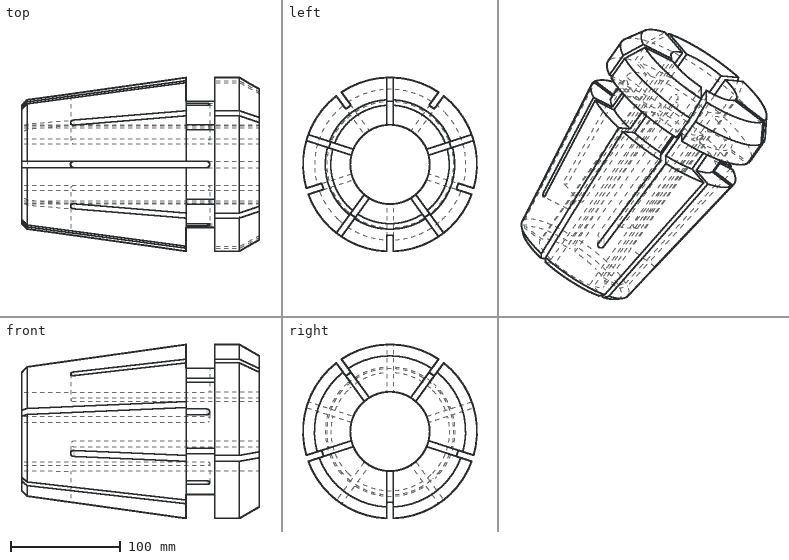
import cadquery as cq
import math

total_length = 216.11
max_radius = 79.24
bore_radius = 36.0

cone_angle = 8.0
cone_end_x = 149.5
nose_chamfer = 5.0

neck_radius = 57.6
collar_start_x = 175.5
collar_chamfer_angle = 30.0
collar_chamfer_length = 18.1

slot_count = 5
slot_width = 5.7
nose_slot_end_x = 171.0
rear_slot_end_x = 44.5
slot_pitch_angle = 360 / slot_count
cut_margin = 10.0


def collet_body():
    """Revolve the half profile of the collet around the X axis."""
    cone_drop = (cone_end_x - nose_chamfer) * math.tan(math.radians(cone_angle))
    cone_small_radius = max_radius - cone_drop
    collar_drop = collar_chamfer_length * math.tan(math.radians(collar_chamfer_angle))
    collar_end_radius = max_radius - collar_drop
    profile = [
        (0, bore_radius),
        (0, cone_small_radius - nose_chamfer),
        (nose_chamfer, cone_small_radius),
        (cone_end_x, max_radius),
        (cone_end_x, neck_radius),
        (collar_start_x, neck_radius),
        (collar_start_x, max_radius),
        (total_length - collar_chamfer_length, max_radius),
        (total_length, collar_end_radius),
        (total_length, bore_radius),
    ]
    return cq.Workplane("XY").polyline(profile).close().revolve(360, (0, 0, 0), (1, 0, 0))


def slot_cutter(start_x, end_x):
    """Radial slot toward +Z with full-round ends, reaching from the axis past the outside."""
    return (
        cq.Workplane("XY")
        .center((start_x + end_x) / 2, 0)
        .slot2D(end_x - start_x, slot_width)
        .extrude(max_radius + cut_margin)
    )


def cut_slots(body, cutter, first_angle):
    """Cut the slot at equal steps around the collet axis."""
    for index in range(slot_count):
        angle = first_angle + index * slot_pitch_angle
        body = body.cut(cutter.rotate((0, 0, 0), (1, 0, 0), angle))
    return body


nose_slot = slot_cutter(-cut_margin, nose_slot_end_x)
rear_slot = slot_cutter(rear_slot_end_x, total_length + cut_margin)

result = collet_body()
result = cut_slots(result, nose_slot, 0)
result = cut_slots(result, rear_slot, slot_pitch_angle / 2)